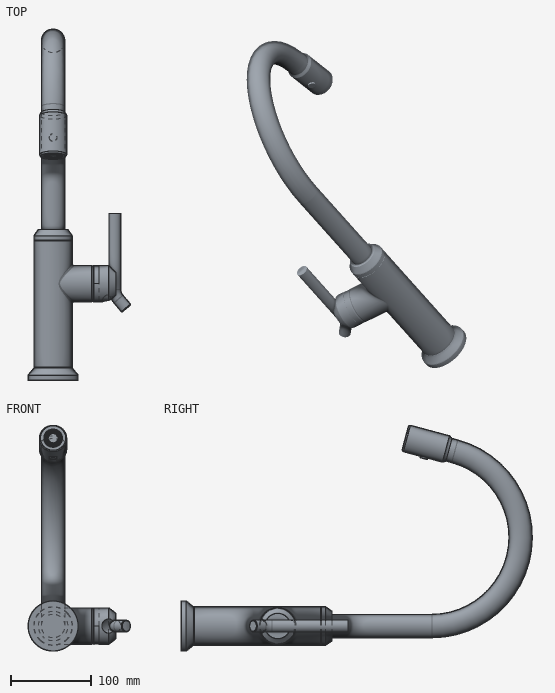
import cadquery as cq
import math

EDGE_BEVEL = 0.5
CUT_CLEARANCE = 1.0

FOOT_DIAMETER = 62.7
FOOT_RADIUS = FOOT_DIAMETER / 2
FOOT_RIM = 6.5
FOOT_HEIGHT = 15.5
BODY_RADIUS = 24.0
JOINT_DEPTH = 0.5
JOINT_WIDTH = 1.5
COLLAR_START = 174.0
COLLAR_SHOULDER = 180.7
PILLAR_TOP = 188.5
PILLAR_TOP_RADIUS = 18.5

TOTAL_LENGTH = 438.5
TUBE_DIAMETER = 29.5
TUBE_RADIUS = TUBE_DIAMETER / 2
BEND_RADIUS = 111.0
BEND_ANGLE = 165.0
BEND_START = TOTAL_LENGTH - TUBE_RADIUS - BEND_RADIUS

HEAD_RADIUS = 17.0
HEAD_NECK = 7.5
HEAD_SHOULDER = 11.0
HEAD_LENGTH = 64.0
HEAD_TIP_BEVEL_RADIAL = 1.5
HEAD_TIP_BEVEL_LENGTH = 2.0
AERATOR_RINGS = (6.0, 8.5, 10.5)
AERATOR_RING_WIDTH = 1.1
AERATOR_RING_DEPTH = 1.5
BUTTON_RADIUS = 5.0
BUTTON_HEIGHT = 1.8
BUTTON_FROM_TIP = 29.0

BRANCH_Y = 120.5
BRANCH_RADIUS = 23.0
BRANCH_FILLET = 1.8
CAP_START = 48.3
CAP_JOINT_WIDTH = 2.5
CAP_JOINT_DEPTH = 1.0
CAP_SHOULDER = 69.7
CAP_END = 78.5
CAP_END_RADIUS = 16.2
STOP_WINDOW_END = 57.5
STOP_WINDOW_DEPTH = 0.2
SEAT_X = 70.0
SEAT_RADIUS = 9.0

LEVER_X = 77.0
LEVER_RADIUS = 7.5
LEVER_TOP = 208.5
LEVER_BEND_START = 113.5
LEVER_BEND_RADIUS = 19.0
LEVER_BEND_ANGLE = 40.0
STUB_LENGTH = 15.5
STUB_CHAMFER = 1.0


def axis_plane(origin, axis, radial):
    """Plane whose local Y is the turning axis and local X a radial direction."""
    normal = cq.Vector(*radial).cross(cq.Vector(*axis))
    return cq.Plane(origin, radial, normal.toTuple())


def turned(plane, profile):
    """Solid of revolution from (radius, distance along the axis) points."""
    return cq.Workplane(plane).polyline(profile).close().revolve(360, (0, 0), (0, 1))


def ring(plane, inner, outer, start, end):
    """Plain ring about the axis of the plane."""
    return turned(plane, [(inner, start), (outer, start), (outer, end), (inner, end)])


pillar_plane = axis_plane((0, 0, 0), (0, 1, 0), (1, 0, 0))
branch_plane = axis_plane((0, BRANCH_Y, 0), (1, 0, 0), (0, 1, 0))


def make_pillar():
    return turned(pillar_plane, [
        (0, 0),
        (FOOT_RADIUS, 0),
        (FOOT_RADIUS, FOOT_RIM - EDGE_BEVEL),
        (FOOT_RADIUS - EDGE_BEVEL, FOOT_RIM + EDGE_BEVEL),
        (BODY_RADIUS, FOOT_HEIGHT),
        (BODY_RADIUS, COLLAR_SHOULDER - EDGE_BEVEL),
        (BODY_RADIUS - EDGE_BEVEL, COLLAR_SHOULDER + EDGE_BEVEL),
        (PILLAR_TOP_RADIUS, PILLAR_TOP),
        (0, PILLAR_TOP),
    ])


def make_branch():
    return turned(branch_plane, [
        (0, 0),
        (BRANCH_RADIUS, 0),
        (BRANCH_RADIUS, CAP_SHOULDER - EDGE_BEVEL),
        (BRANCH_RADIUS - EDGE_BEVEL, CAP_SHOULDER + EDGE_BEVEL),
        (CAP_END_RADIUS, CAP_END - EDGE_BEVEL),
        (CAP_END_RADIUS - EDGE_BEVEL, CAP_END),
        (0, CAP_END),
    ])


def joined_body():
    """Pillar and branch with a small fillet where they meet."""
    body = make_pillar().union(make_branch())
    reach = BODY_RADIUS + BRANCH_FILLET
    span = 2 * (BRANCH_RADIUS + BRANCH_FILLET)
    around_joint = cq.selectors.BoxSelector(
        (0, BRANCH_Y - span / 2, -span / 2),
        (reach, BRANCH_Y + span / 2, span / 2),
        boundingbox=True,
    )
    return body.edges(around_joint).fillet(BRANCH_FILLET)


def pillar_joint(start):
    """Narrow groove around the pillar."""
    inner = BODY_RADIUS - JOINT_DEPTH
    return ring(pillar_plane, inner, BODY_RADIUS + CUT_CLEARANCE, start, start + JOINT_WIDTH)


def cap_joint():
    """V-groove between the branch and its turning cap."""
    return turned(branch_plane, [
        (BRANCH_RADIUS, CAP_START),
        (BRANCH_RADIUS - CAP_JOINT_DEPTH, CAP_START + CAP_JOINT_WIDTH / 2),
        (BRANCH_RADIUS, CAP_START + CAP_JOINT_WIDTH),
    ])


def stop_window():
    """Shallow step beside the cap groove, open on all but the front upper quarter."""
    window = ring(branch_plane, BRANCH_RADIUS - STOP_WINDOW_DEPTH, BRANCH_RADIUS + CUT_CLEARANCE,
                  CAP_START + CAP_JOINT_WIDTH, STOP_WINDOW_END)
    size = STOP_WINDOW_END + CUT_CLEARANCE
    kept_quarter = cq.Workplane("XY").box(size, size, size, centered=False)
    return window.cut(kept_quarter.translate((0, BRANCH_Y - size, 0)))


def cap_seat():
    """Spherical hollow in the -Y side of the cap, around the bent lever."""
    return cq.Workplane("XY", origin=(SEAT_X, BRANCH_Y - BRANCH_RADIUS, 0)).sphere(SEAT_RADIUS)


def make_lever():
    turn = math.radians(LEVER_BEND_ANGLE)
    half = turn / 2
    centre_x = LEVER_X + LEVER_BEND_RADIUS

    def on_bend(angle):
        return (centre_x - LEVER_BEND_RADIUS * math.cos(angle),
                LEVER_BEND_START - LEVER_BEND_RADIUS * math.sin(angle))

    end_x, end_y = on_bend(turn)
    path = (
        cq.Workplane("XY")
        .moveTo(LEVER_X, LEVER_TOP)
        .lineTo(LEVER_X, LEVER_BEND_START)
        .threePointArc(on_bend(half), (end_x, end_y))
    )
    rod = cq.Workplane("XZ", origin=(LEVER_X, LEVER_TOP, 0)).circle(LEVER_RADIUS).sweep(path)
    stub_plane = axis_plane((end_x, end_y, 0), (math.sin(turn), -math.cos(turn), 0), (0, 0, 1))
    stub = turned(stub_plane, [
        (0, 0),
        (LEVER_RADIUS, 0),
        (LEVER_RADIUS, STUB_LENGTH - STUB_CHAMFER),
        (LEVER_RADIUS - STUB_CHAMFER, STUB_LENGTH),
        (0, STUB_LENGTH),
    ])
    return rod.union(stub)


def spout_point(angle_degrees):
    """(Y, Z) of the spout centreline after turning by the given angle."""
    angle = math.radians(angle_degrees)
    return (BEND_START + BEND_RADIUS * math.sin(angle),
            BEND_RADIUS * (1 - math.cos(angle)))


def make_spout():
    path = (
        cq.Workplane("YZ")
        .moveTo(PILLAR_TOP, 0)
        .lineTo(BEND_START, 0)
        .threePointArc(spout_point(BEND_ANGLE / 2), spout_point(BEND_ANGLE))
    )
    return cq.Workplane("XZ", origin=(0, PILLAR_TOP, 0)).circle(TUBE_RADIUS).sweep(path)


def make_head():
    angle = math.radians(BEND_ANGLE)
    axis = (0, math.cos(angle), math.sin(angle))
    plane = axis_plane((0, *spout_point(BEND_ANGLE)), axis, (1, 0, 0))
    head = turned(plane, [
        (0, 0),
        (TUBE_RADIUS, 0),
        (TUBE_RADIUS, HEAD_NECK),
        (HEAD_RADIUS - EDGE_BEVEL, HEAD_SHOULDER - EDGE_BEVEL),
        (HEAD_RADIUS, HEAD_SHOULDER + EDGE_BEVEL),
        (HEAD_RADIUS, HEAD_LENGTH - HEAD_TIP_BEVEL_LENGTH),
        (HEAD_RADIUS - HEAD_TIP_BEVEL_RADIAL, HEAD_LENGTH),
        (0, HEAD_LENGTH),
    ])
    for radius in AERATOR_RINGS:
        head = head.cut(ring(plane, radius, radius + AERATOR_RING_WIDTH,
                             HEAD_LENGTH - AERATOR_RING_DEPTH, HEAD_LENGTH))
    button = (
        cq.Workplane(plane)
        .center(0, HEAD_LENGTH - BUTTON_FROM_TIP)
        .circle(BUTTON_RADIUS)
        .extrude(HEAD_RADIUS + BUTTON_HEIGHT)
    )
    return head.union(button)


body = joined_body()
for joint_start in (FOOT_HEIGHT, COLLAR_START):
    body = body.cut(pillar_joint(joint_start))
body = body.cut(cap_joint()).cut(stop_window()).cut(cap_seat())

result = body.union(make_lever()).union(make_spout()).union(make_head())